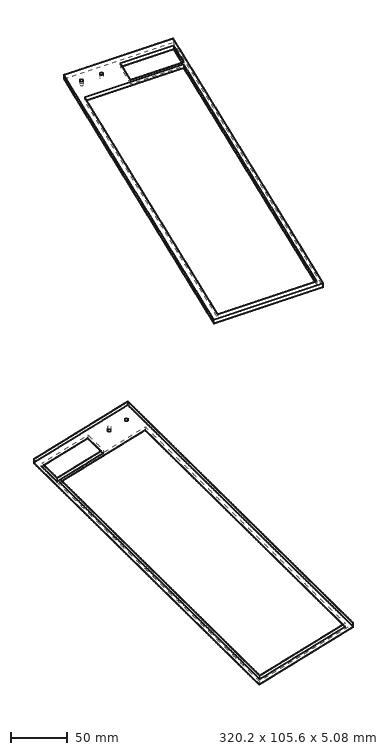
import cadquery as cq

LENGTH = 320.19
WIDTH = 105.6
THICKNESS = 5.08

WINDOW_LEFT_MARGIN = 31.9
WINDOW_RIGHT_RIM = 4.6
WINDOW_BACK_RIM = 4.25
WINDOW_FRONT_RIM = 5.75

SLOT_LEFT_MARGIN = 7.9
SLOT_BACK_RIM = 3.05
SLOT_SIZE_X = 21.6
SLOT_SIZE_Y = 51.5

HOLE_DIAMETER = 3.05
HOLE_LEFT_MARGIN = 12.4
HOLE_FRONT_MARGIN = 11.4
HOLE_SPACING = 19.3
HOLE_COUNT = 2

LEFT = -LENGTH / 2
RIGHT = LENGTH / 2
FRONT = -WIDTH / 2
BACK = WIDTH / 2


def make_block(x_min, x_max, y_min, y_max):
    """Block of full plate thickness, standing on Z = 0."""
    return (
        cq.Workplane("XY")
        .box(x_max - x_min, y_max - y_min, THICKNESS, centered=False)
        .translate((x_min, y_min, 0))
    )


def make_window():
    return make_block(
        LEFT + WINDOW_LEFT_MARGIN,
        RIGHT - WINDOW_RIGHT_RIM,
        FRONT + WINDOW_FRONT_RIM,
        BACK - WINDOW_BACK_RIM,
    )


def make_slot():
    slot_left = LEFT + SLOT_LEFT_MARGIN
    slot_back = BACK - SLOT_BACK_RIM
    return make_block(slot_left, slot_left + SLOT_SIZE_X, slot_back - SLOT_SIZE_Y, slot_back)


def make_screw_holes():
    centers = [
        (LEFT + HOLE_LEFT_MARGIN, FRONT + HOLE_FRONT_MARGIN + i * HOLE_SPACING)
        for i in range(HOLE_COUNT)
    ]
    return cq.Workplane("XY").pushPoints(centers).circle(HOLE_DIAMETER / 2).extrude(THICKNESS)


plate = make_block(LEFT, RIGHT, FRONT, BACK)
result = plate.cut(make_window()).cut(make_slot()).cut(make_screw_holes())